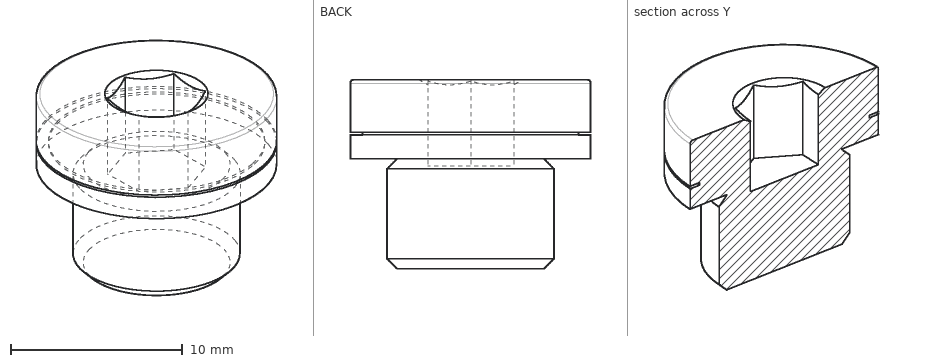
import cadquery as cq
import math

head_diameter = 14.0
total_height = 11.0
shank_diameter = 9.73
shank_length = 6.4
shank_chamfer = 0.59

flange_thickness = 1.4
groove_width = 0.14
groove_diameter = 12.6
head_edge_radius = 0.2

hex_across_flats = 5.0
socket_mouth_diameter = 6.0
socket_depth = 5.0
countersink_half_angle = 60.0

head_radius = head_diameter / 2
shank_radius = shank_diameter / 2
groove_radius = groove_diameter / 2
groove_bottom = shank_length + flange_thickness
groove_top = groove_bottom + groove_width
shank_end_radius = shank_radius - shank_chamfer


def make_body():
    """Revolve the half section, drawn as radius and height, about the Z axis."""
    return (
        cq.Workplane("XZ")
        .lineTo(shank_end_radius, 0)
        .lineTo(shank_radius, shank_chamfer)
        .lineTo(shank_radius, shank_length - shank_chamfer)
        .lineTo(shank_end_radius, shank_length)
        .lineTo(head_radius, shank_length)
        .lineTo(head_radius, groove_bottom)
        .lineTo(groove_radius, groove_bottom)
        .lineTo(groove_radius, groove_top)
        .lineTo(head_radius, groove_top)
        .lineTo(head_radius, total_height)
        .lineTo(0, total_height)
        .close()
        .revolve(360, (0, 0, 0), (0, 1, 0))
        .faces(">Z")
        .edges()
        .fillet(head_edge_radius)
    )


def make_hex_socket():
    hex_across_corners = hex_across_flats / math.cos(math.radians(30))
    return (
        cq.Workplane("XY", origin=(0, 0, total_height - socket_depth))
        .transformed(rotate=(0, 0, 90))
        .polygon(6, hex_across_corners)
        .extrude(socket_depth)
    )


def make_countersink():
    """Cone that widens the mouth of the socket to a full circle."""
    mouth_radius = socket_mouth_diameter / 2
    cone_height = mouth_radius / math.tan(math.radians(countersink_half_angle))
    return (
        cq.Workplane("XZ", origin=(0, 0, total_height))
        .lineTo(mouth_radius, 0)
        .lineTo(0, -cone_height)
        .close()
        .revolve(360, (0, 0, 0), (0, 1, 0))
    )


result = make_body().cut(make_hex_socket()).cut(make_countersink())